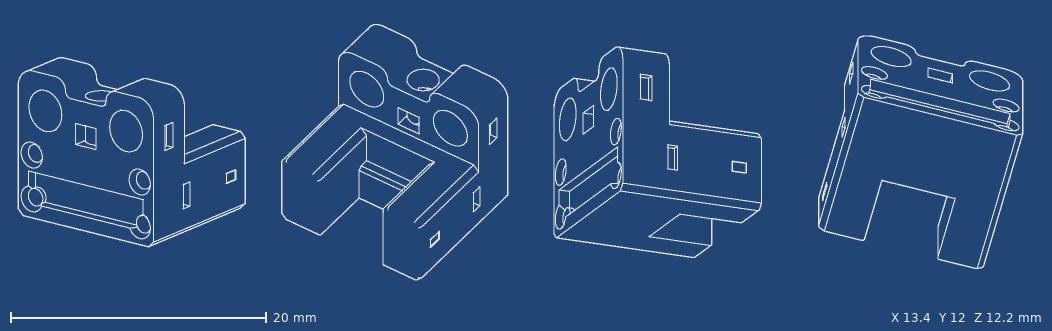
import cadquery as cq

width = 13.4
depth = 12.0
height = 12.2
half_width = width / 2

upright_depth = 4.0
base_height = 6.4
edge_chamfer = 0.5

shoulder_radius = 1.5
notch_width = 4.0
notch_top_radius = 0.99
notch_floor_radius = 0.52
notch_floor_z = height - notch_top_radius - notch_floor_radius

arm_gap_width = 5.95
arm_gap_chamfer = 0.55
arm_gap_start_y = 5.5
end_fillet = 0.3

ledge_end_y = 6.53
ledge_height = base_height / 2
ledge_chamfer = 0.28

oval_offset_x = 3.99
oval_z = 9.14
oval_width = 3.24
oval_height = 3.38

window_width = 2.0
window_sill_z = 6.98
window_height = 1.74
bore_diameter = 2.52
bore_depth = 5.68
bore_y = upright_depth / 2

countersink_offset_x = 5.35
countersink_lower_z = 1.57
countersink_upper_z = 5.2
countersink_outer_diameter = 2.1
countersink_inner_diameter = 1.43
countersink_depth = 0.5

pocket_width = 11.34
pocket_bottom_z = 1.18
pocket_height = 2.64
pocket_depth = 0.9

side_recesses = [
    (upright_depth / 2, 8.71, 0.98, 2.05, 0.63),
    (4.27, 3.22, 0.83, 2.0, 0.63),
    (10.0, 3.22, 1.2, 0.82, 0.1),
]


def box(x_size, y_start, y_end, z_start, z_end):
    """Box centred on X, spanning the given Y and Z ranges."""
    size_y = y_end - y_start
    size_z = z_end - z_start
    block = cq.Workplane("XY").box(x_size, size_y, size_z, centered=(True, False, False))
    return block.translate((0, y_start, z_start))


def front_plane():
    """Workplane on the front face: local x is X, local y is Z, negative extrusions go into the part."""
    return cq.Workplane("XZ")


def make_upright():
    """Front block with rounded shoulders and a notch whose sides are pairs of tangent arcs."""
    half_notch = notch_width / 2
    half_floor = half_notch - notch_floor_radius
    notch_crest_x = half_notch + notch_top_radius
    notch_side_z = height - notch_top_radius
    shoulder_x = half_width - shoulder_radius
    shoulder_z = height - shoulder_radius
    return (
        front_plane()
        .moveTo(-half_width, 0)
        .lineTo(half_width, 0)
        .lineTo(half_width, shoulder_z)
        .radiusArc((shoulder_x, height), -shoulder_radius)
        .lineTo(notch_crest_x, height)
        .radiusArc((half_notch, notch_side_z), -notch_top_radius)
        .radiusArc((half_floor, notch_floor_z), notch_floor_radius)
        .lineTo(-half_floor, notch_floor_z)
        .radiusArc((-half_notch, notch_side_z), notch_floor_radius)
        .radiusArc((-notch_crest_x, height), -notch_top_radius)
        .lineTo(-shoulder_x, height)
        .radiusArc((-half_width, shoulder_z), -shoulder_radius)
        .close()
        .extrude(-upright_depth)
    )


def make_base():
    """Chamfered base, split at the rear into two arms with rounded ends and bridged by a ledge."""
    base = box(width, 0, depth, 0, base_height).edges("|Y").chamfer(edge_chamfer)
    arm_gap = box(arm_gap_width, arm_gap_start_y, depth, 0, base_height)
    gap_flare = (
        cq.Workplane("XZ", origin=(0, arm_gap_start_y, 0))
        .moveTo(-arm_gap_width / 2, base_height - arm_gap_chamfer)
        .lineTo(arm_gap_width / 2, base_height - arm_gap_chamfer)
        .lineTo(arm_gap_width / 2 + arm_gap_chamfer, base_height)
        .lineTo(-arm_gap_width / 2 - arm_gap_chamfer, base_height)
        .close()
        .extrude(arm_gap_start_y - depth)
    )
    base = base.cut(arm_gap).cut(gap_flare).faces(">Y").edges().fillet(end_fillet)
    ledge = box(arm_gap_width, arm_gap_start_y, ledge_end_y, 0, ledge_height)
    return base.union(ledge.edges(">Y and >Z").chamfer(ledge_chamfer))


def make_lower_corner_cuts():
    """Wedges that carry the lower side chamfers of the base through the upright."""
    corner = [(half_width, 0), (half_width - edge_chamfer, 0), (half_width, edge_chamfer)]
    wedge = front_plane().polyline(corner).close().extrude(-upright_depth)
    return wedge.union(wedge.mirror("YZ"))


def make_oval_openings():
    return (
        front_plane()
        .pushPoints([(-oval_offset_x, oval_z), (oval_offset_x, oval_z)])
        .ellipse(oval_width / 2, oval_height / 2)
        .extrude(-upright_depth)
    )


def make_window():
    return box(window_width, 0, upright_depth, window_sill_z, window_sill_z + window_height)


def make_bore():
    bore_plane = cq.Workplane("XY", origin=(0, bore_y, notch_floor_z))
    return bore_plane.circle(bore_diameter / 2).extrude(-bore_depth)


def make_countersink(x, z):
    """Flat-bottomed cone opening on the front face."""
    outer_radius = countersink_outer_diameter / 2
    inner_radius = countersink_inner_diameter / 2
    into_part = cq.Vector(0, 1, 0)
    cone = cq.Solid.makeCone(outer_radius, inner_radius, countersink_depth, cq.Vector(x, 0, z), into_part)
    return cq.Workplane(cone)


def make_pocket():
    """Pocket that leaves a round post behind each lower countersink."""
    pocket = box(pocket_width, 0, pocket_depth, pocket_bottom_z, pocket_bottom_z + pocket_height)
    post_centres = [(side * countersink_offset_x, countersink_lower_z) for side in (-1, 1)]
    post_radius = countersink_inner_diameter / 2
    posts = front_plane().pushPoints(post_centres).circle(post_radius).extrude(-pocket_depth)
    return pocket.cut(posts)


def make_side_recess(side, y, z, length, recess_height, recess_depth):
    """Recess in the left (side = -1) or right (side = 1) face."""
    recess = cq.Workplane("XY").box(recess_depth, length, recess_height)
    return recess.translate((side * (half_width - recess_depth / 2), y, z))


result = make_upright().union(make_base())
result = result.cut(make_lower_corner_cuts())
result = result.cut(make_oval_openings())
result = result.cut(make_window())
result = result.cut(make_bore())
result = result.cut(make_pocket())

for side in (-1, 1):
    for countersink_z in (countersink_lower_z, countersink_upper_z):
        result = result.cut(make_countersink(side * countersink_offset_x, countersink_z))
    for recess in side_recesses:
        result = result.cut(make_side_recess(side, *recess))